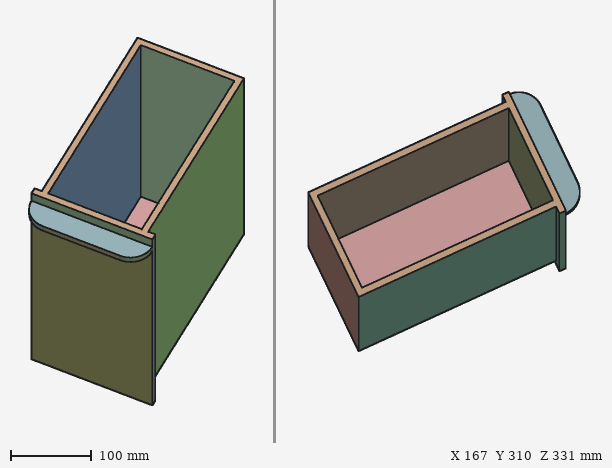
import cadquery as cq
import math

board = 9.0

panel_width = 167.0
panel_height = 331.0
panel_side_overhang = 10.0
panel_bottom_overhang = 20.0

overall_depth = 310.0
handle_depth = 30.0
box_width = panel_width - 2 * panel_side_overhang
box_depth = overall_depth - handle_depth - board
box_height = panel_height - panel_bottom_overhang
cavity_width = box_width - 2 * board
cavity_depth = box_depth - board

hole_diameter = 2.5
hole_from_back = 19.2

handle_drop = 15.0


def block(width, depth, height, y_front, z_bottom):
    """Block centred on X, placed by its front face and its underside."""
    solid = cq.Workplane("XY").box(width, depth, height, centered=(True, False, False))
    return solid.translate((0, y_front, z_bottom))


def make_handle():
    """Shelf whose outer corners are quarter circles over its full depth."""
    half_width = panel_width / 2
    flat_half = half_width - handle_depth
    bend = handle_depth * math.sqrt(0.5)
    z_bottom = panel_height - handle_drop - board
    return (
        cq.Workplane("XY", origin=(0, 0, z_bottom))
        .moveTo(-half_width, 0)
        .threePointArc((-flat_half - bend, -bend), (-flat_half, -handle_depth))
        .lineTo(flat_half, -handle_depth)
        .threePointArc((flat_half + bend, -bend), (half_width, 0))
        .close()
        .extrude(board)
    )


box_front = board
box_back = box_front + box_depth
cavity_bottom = panel_bottom_overhang + board

panel = block(panel_width, board, panel_height, 0, 0)
box = block(box_width, box_depth, box_height, box_front, panel_bottom_overhang)
cavity = block(cavity_width, cavity_depth, box_height - board, box_front, cavity_bottom)
floor_hole = (
    cq.Workplane("XY", origin=(0, box_back - hole_from_back, panel_bottom_overhang))
    .circle(hole_diameter / 2)
    .extrude(board)
)

result = panel.union(box.cut(cavity)).union(make_handle()).cut(floor_hole)